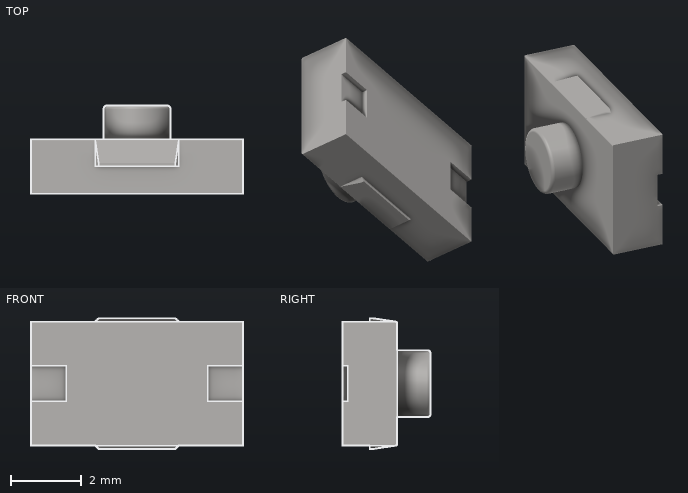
import cadquery as cq

body_length = 6.0
body_height = 3.5
body_depth = 1.55
front_edge_radius = 0.045

button_diameter = 1.9
button_reach = 0.95
button_edge_radius = 0.1

latch_base_width = 2.37
latch_rise = 0.1
latch_depth = 0.775
latch_land = 0.1
latch_embed = 0.2

recess_size = 1.0
recess_depth = 0.16

body_front = body_depth


def make_body():
    block = cq.Workplane("XY").box(body_length, body_depth, body_height, centered=(True, False, True))
    return block.faces(">Y").edges("|X").fillet(front_edge_radius)


def make_button():
    button = (
        cq.Workplane("XZ", origin=(0, body_front, 0))
        .circle(button_diameter / 2)
        .extrude(-button_reach)
    )
    return button.faces(">Y").edges().fillet(button_edge_radius)


def make_latch():
    """Top latch: a bar with 45 degree flanks, sliced by a ramp that falls to the body's +Y edge."""
    base_z = body_height / 2
    root_z = base_z - latch_embed
    crest_z = base_z + latch_rise
    back_y = body_front - latch_depth
    half_base = latch_base_width / 2
    half_crest = half_base - latch_rise
    bar = (
        cq.Workplane("XZ", origin=(0, body_front, 0))
        .polyline([
            (-half_base, root_z),
            (half_base, root_z),
            (half_base, base_z),
            (half_crest, crest_z),
            (-half_crest, crest_z),
            (-half_base, base_z),
        ])
        .close()
        .extrude(latch_depth)
    )
    ramp = (
        cq.Workplane("YZ")
        .polyline([
            (back_y, root_z),
            (body_front, root_z),
            (body_front, base_z),
            (back_y + latch_land, crest_z),
            (back_y, crest_z),
        ])
        .close()
        .extrude(half_base, both=True)
        .faces(">Y")
        .edges(">Z")
        .fillet(front_edge_radius)
    )
    return bar.intersect(ramp)


def make_recess(side):
    """Cutter for the terminal recess at the -X end (side = -1) or the +X end (side = 1)."""
    center_x = side * (body_length - recess_size) / 2
    return (
        cq.Workplane("XY")
        .box(recess_size, recess_depth, recess_size, centered=(True, False, True))
        .translate((center_x, 0, 0))
    )


top_latch = make_latch()
bottom_latch = top_latch.mirror("XY")

result = make_body().union(make_button()).union(top_latch).union(bottom_latch)
for end in (-1, 1):
    result = result.cut(make_recess(end))